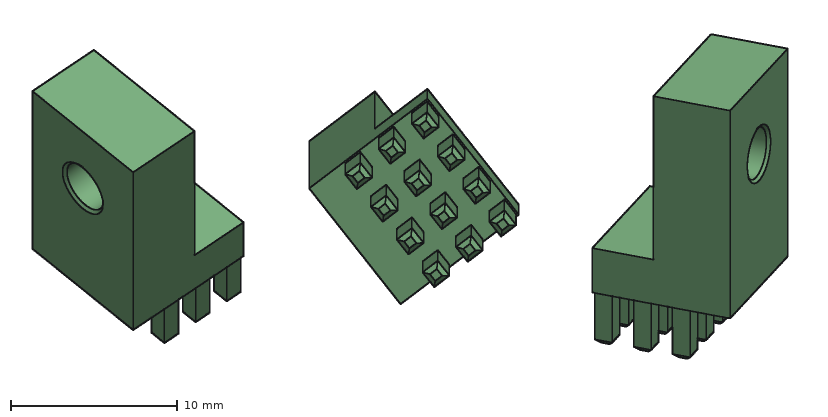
import cadquery as cq

width = 9.0
depth = 9.0
total_height = 17.5
pin_length = 3.5
body_height = total_height - pin_length

wall_thickness = 5.0
foot_height = 3.0

hole_diameter = 3.24
hole_chamfer = 0.2
hole_below_top = 5.0

pin_pitch = 2.54
pin_side = 1.15
pin_tip_chamfer = 0.32
pin_columns = 4
pin_rows = 3

front_y = -depth / 2
back_y = depth / 2


def make_body():
    wall_back_y = front_y + wall_thickness
    return (
        cq.Workplane("YZ")
        .moveTo(front_y, 0)
        .lineTo(back_y, 0)
        .lineTo(back_y, foot_height)
        .lineTo(wall_back_y, foot_height)
        .lineTo(wall_back_y, body_height)
        .lineTo(front_y, body_height)
        .close()
        .extrude(width / 2, both=True)
    )


def make_hole():
    """Cutter for the hole, flared by the chamfer at the front face."""
    hole_radius = hole_diameter / 2
    hole_z = body_height - hole_below_top
    half_section = (
        cq.Workplane("XY", origin=(0, front_y, hole_z))
        .moveTo(0, 0)
        .lineTo(hole_radius + hole_chamfer, 0)
        .lineTo(hole_radius, hole_chamfer)
        .lineTo(hole_radius, wall_thickness)
        .lineTo(0, wall_thickness)
        .close()
    )
    return half_section.revolve(360, (0, 0), (0, 1))


def make_pins():
    """Pin grid centred along X, starting near the back and leaving the front edge free."""
    outer_pin_offset = pin_pitch * (pin_columns - 1) / 2
    positions = []
    for column in range(pin_columns):
        for row in range(pin_rows):
            x = column * pin_pitch - outer_pin_offset
            y = outer_pin_offset - row * pin_pitch
            positions.append((x, y))
    return (
        cq.Workplane("XY")
        .pushPoints(positions)
        .rect(pin_side, pin_side)
        .extrude(-pin_length)
        .faces("<Z")
        .chamfer(pin_tip_chamfer)
    )


result = make_body().cut(make_hole()).union(make_pins())